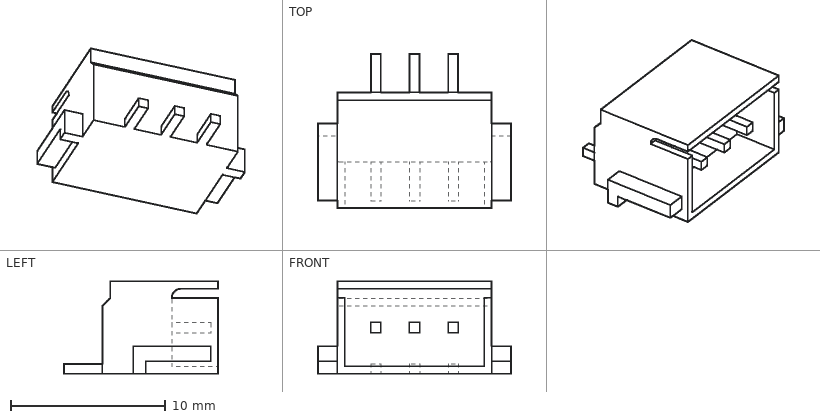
import cadquery as cq

body_width = 10.0
body_depth = 7.5
body_height = 6.0
wall = 0.5
cavity_depth = 3.0

rear_step = 0.5
rear_step_height = 4.9
rear_chamfer_base = rear_step_height - rear_step

slot_depth = 3.0
slot_floor = 4.91
slot_ceiling = body_height - wall
slot_radius = slot_ceiling - slot_floor

pin_count = 3
pin_pitch = 2.5
contact_size = 0.65
pin_height = 3.0
pin_front = 0.5
tail_length = 2.5

overall_width = 12.5
tab_reach = (overall_width - body_width) / 2
tab_front = 0.5
tab_length = 5.0
tab_top = 1.8
tab_thickness = 1.0
tab_leg = 0.8


def block(x_range, y_range, z_range):
    """Box between the given limits along each axis."""
    (x0, x1), (y0, y1), (z0, z1) = x_range, y_range, z_range
    return cq.Workplane("XY").box(x1 - x0, y1 - y0, z1 - z0, centered=False).translate((x0, y0, z0))


def side_profile(x_start):
    """Sketch plane across the part: local x is +Y and local y is +Z."""
    return cq.Workplane("YZ", origin=(x_start, 0, 0))


def make_housing():
    half_width = body_width / 2
    housing = (
        side_profile(-half_width)
        .moveTo(0, 0)
        .lineTo(body_depth, 0)
        .lineTo(body_depth, rear_chamfer_base)
        .lineTo(body_depth - rear_step, rear_step_height)
        .lineTo(body_depth - rear_step, body_height)
        .lineTo(0, body_height)
        .close()
        .extrude(body_width)
    )
    slot = (
        side_profile(-half_width)
        .moveTo(0, slot_floor)
        .lineTo(slot_depth, slot_floor)
        .radiusArc((slot_depth - slot_radius, slot_ceiling), -slot_radius)
        .lineTo(0, slot_ceiling)
        .close()
        .extrude(body_width)
    )
    inner_half = half_width - wall
    cavity = block((-inner_half, inner_half), (0, cavity_depth), (wall, slot_floor))
    return housing.cut(slot).cut(cavity)


def make_contact(x_centre):
    """Mating pin inside the cavity and solder tail behind the housing."""
    half_size = contact_size / 2
    pin = block(
        (x_centre - half_size, x_centre + half_size),
        (pin_front, body_depth - rear_step),
        (pin_height - half_size, pin_height + half_size),
    )
    tail = block(
        (x_centre - half_size, x_centre + half_size),
        (cavity_depth, body_depth + tail_length),
        (0, contact_size),
    )
    return pin, tail


def make_tab(x_start):
    """L-shaped tab: a raised bar with a rear leg down to the seating plane."""
    tab_rear = tab_front + tab_length
    tab_underside = tab_top - tab_thickness
    return (
        side_profile(x_start)
        .moveTo(tab_front, tab_top)
        .lineTo(tab_rear, tab_top)
        .lineTo(tab_rear, 0)
        .lineTo(tab_rear - tab_leg, 0)
        .lineTo(tab_rear - tab_leg, tab_underside)
        .lineTo(tab_front, tab_underside)
        .close()
        .extrude(tab_reach)
    )


result = make_housing()
for index in range(pin_count):
    pin, tail = make_contact((index - (pin_count - 1) / 2) * pin_pitch)
    result = result.union(pin).union(tail)
for tab_start in (-overall_width / 2, body_width / 2):
    result = result.union(make_tab(tab_start))